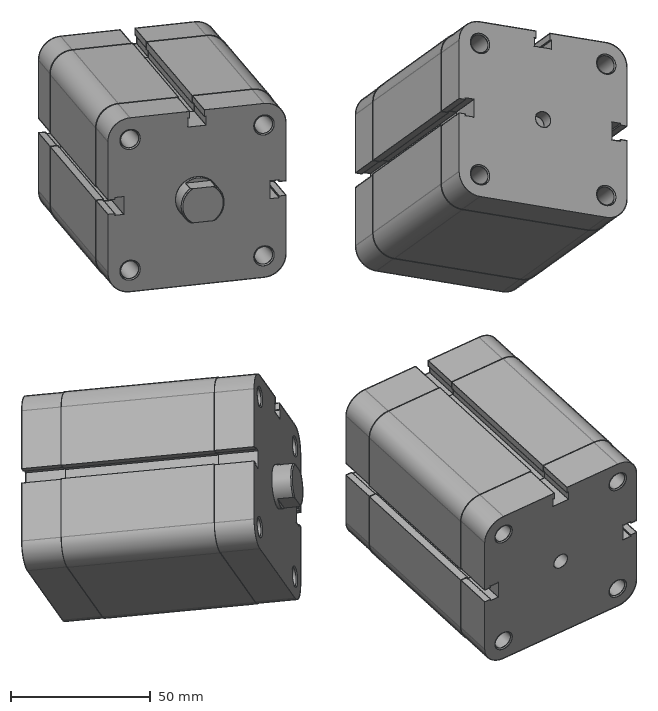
import cadquery as cq

OVERALL_LENGTH = 93.5
BODY_LENGTH = 86.0
COVER_LENGTH = 14.7
BARREL_WIDTH = 67.0
COVER_INSET = 0.2
CORNER_CENTRE = 25.1

SLOT_FLOOR = 27.4
SLOT_STEP = 30.6
THROAT_WIDTH = 5.1
SLOT_WIDTH = 6.45
SLOT_ANGLES = (-90, 0, 90)

BOLT_HOLE_DIAMETER = 6.7
BOLT_HOLE_CHAMFER = 0.5
PILOT_DIAMETER = 6.0
PILOT_DEPTH = 5.6

ROD_DIAMETER = 16.1
ROD_CHAMFER = 0.5
ROD_FLATS_WIDTH = 13.1
ROD_COLLAR = 1.3

BARREL_LENGTH = BODY_LENGTH - 2 * COVER_LENGTH
FRONT_COVER_START = BODY_LENGTH - COVER_LENGTH
FLATS_START = BODY_LENGTH + ROD_COLLAR


def t_slot(start, length, inset):
    """Cutter for one T-slot that opens toward +Z, widened by the inset except at its floor."""
    half_slot = SLOT_WIDTH / 2 + inset
    half_throat = THROAT_WIDTH / 2 + inset
    step = SLOT_STEP + inset
    rim = BARREL_WIDTH / 2
    return (
        cq.Workplane("YZ", origin=(start, 0, 0))
        .moveTo(-half_slot, SLOT_FLOOR)
        .lineTo(half_slot, SLOT_FLOOR)
        .lineTo(half_slot, step)
        .lineTo(half_throat, step)
        .lineTo(half_throat, rim)
        .lineTo(-half_throat, rim)
        .lineTo(-half_throat, step)
        .lineTo(-half_slot, step)
        .close()
        .extrude(length)
    )


def slotted_block(start, length, inset):
    """Rounded square block with three T-slots and four bolt holes along X."""
    width = BARREL_WIDTH - 2 * inset
    block = (
        cq.Workplane("YZ", origin=(start, 0, 0))
        .rect(width, width)
        .extrude(length)
        .edges("|X")
        .fillet(width / 2 - CORNER_CENTRE)
    )
    slot = t_slot(start, length, inset)
    for angle in SLOT_ANGLES:
        block = block.cut(slot.rotate((0, 0, 0), (1, 0, 0), angle))
    bolt_holes = (
        cq.Workplane("YZ", origin=(start, 0, 0))
        .rect(2 * CORNER_CENTRE, 2 * CORNER_CENTRE, forConstruction=True)
        .vertices()
        .circle(BOLT_HOLE_DIAMETER / 2)
        .extrude(length)
    )
    return block.cut(bolt_holes)


def make_cover(start, outer_face):
    """Cover with chamfered bolt holes on its outer face ("<X" or ">X")."""
    cover = slotted_block(start, COVER_LENGTH, COVER_INSET)
    bolt_hole_rims = cq.selectors.RadiusNthSelector(0)
    return cover.faces(outer_face).edges(bolt_hole_rims).chamfer(BOLT_HOLE_CHAMFER)


def make_rear_cover():
    pilot = cq.Workplane("YZ").circle(PILOT_DIAMETER / 2).extrude(PILOT_DEPTH)
    return make_cover(0, "<X").cut(pilot)


def make_front_cover():
    """Cover with a round passage for the rod."""
    passage = (
        cq.Workplane("YZ", origin=(FRONT_COVER_START, 0, 0))
        .circle(ROD_DIAMETER / 2)
        .extrude(COVER_LENGTH)
    )
    return make_cover(FRONT_COVER_START, ">X").cut(passage)


def make_barrel():
    return slotted_block(COVER_LENGTH, BARREL_LENGTH, inset=0)


def make_rod():
    """Piston rod, seated against the barrel, with two wrench flats at its end."""
    rod = (
        cq.Workplane("YZ", origin=(FRONT_COVER_START, 0, 0))
        .circle(ROD_DIAMETER / 2)
        .extrude(OVERALL_LENGTH - FRONT_COVER_START)
        .faces(">X")
        .chamfer(ROD_CHAMFER)
    )
    flats_length = OVERALL_LENGTH - FLATS_START
    flat_cutter = cq.Workplane("XY").box(
        flats_length, ROD_DIAMETER, ROD_DIAMETER, centered=(False, True, True)
    )
    flat_offset = (ROD_FLATS_WIDTH + ROD_DIAMETER) / 2
    for side in (-1, 1):
        rod = rod.cut(flat_cutter.translate((FLATS_START, 0, side * flat_offset)))
    return rod


rear_cover = make_rear_cover()
barrel = make_barrel()
front_cover = make_front_cover()
rod = make_rod()

result = cq.Compound.makeCompound([rear_cover.val(), barrel.val(), front_cover.val(), rod.val()])